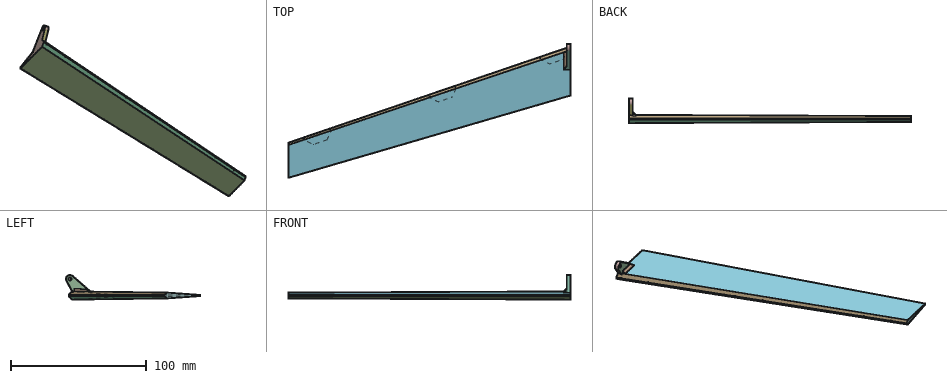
import cadquery as cq
import math

SPAN = 208.0
TOTAL_DEPTH = 98.82
TOTAL_HEIGHT = 18.29
TIP_CHORD = 26.0
ROOT_CHORD = 36.2
ROOT_TRAILING_Y = 60.7
TIP_THICKNESS = 4.5
ROOT_THICKNESS = 6.3
EDGE_THICKNESS = 1.0

HORN_THICKNESS = 3.0
HORN_RADIUS = 3.0
HORN_HOLE_DIAMETER = 2.0
HORN_FRONT_FOOT_Y = 94.3
HORN_REAR_FOOT_Y = 81.0
GUSSET_LEG = 2.0

SLOT_LENGTH = 20.5
SLOT_THICKNESS = 0.9
SLOT_STRAIGHT_DEPTH = 2.0
SLOT_TAPER_DEPTH = 5.0
SLOT_CENTERS_X = (21.0, 113.0, 195.0)

TIP_LEADING_Y = TIP_CHORD
ROOT_LEADING_Y = ROOT_TRAILING_Y + ROOT_CHORD
LEADING_SLOPE = (ROOT_LEADING_Y - TIP_LEADING_Y) / SPAN
TIP_BEVEL = (TIP_THICKNESS - EDGE_THICKNESS) / 2
ROOT_BEVEL = (ROOT_THICKNESS - EDGE_THICKNESS) / 2
ROOT_TOP_Z = ROOT_THICKNESS / 2
HORN_INNER_X = SPAN - HORN_THICKNESS
EYE_Y = TOTAL_DEPTH - HORN_RADIUS
EYE_Z = TOTAL_HEIGHT - ROOT_TOP_Z - HORN_RADIUS


def blade_section(trailing_y, chord, bevel, thickness):
    """Closed YZ outline of one blade section: the upper half and its mirror image."""
    leading_y = trailing_y + chord
    upper = [
        (trailing_y, EDGE_THICKNESS / 2),
        (leading_y - bevel, thickness / 2),
        (leading_y, EDGE_THICKNESS / 2),
    ]
    lower = [(y, -z) for y, z in reversed(upper)]
    return upper + lower


def make_blade():
    tip = blade_section(0, TIP_CHORD, TIP_BEVEL, TIP_THICKNESS)
    root = blade_section(ROOT_TRAILING_Y, ROOT_CHORD, ROOT_BEVEL, ROOT_THICKNESS)
    return (
        cq.Workplane("YZ").polyline(tip).close()
        .workplane(offset=SPAN).polyline(root).close()
        .loft(ruled=True)
    )


def tangent_point(foot_y, side):
    """Point where the line from a horn foot touches the eye; side is +1 front, -1 rear."""
    distance = math.hypot(foot_y - EYE_Y, ROOT_TOP_Z - EYE_Z)
    to_foot = math.atan2(ROOT_TOP_Z - EYE_Z, foot_y - EYE_Y)
    angle = to_foot + side * math.acos(HORN_RADIUS / distance)
    return EYE_Y + HORN_RADIUS * math.cos(angle), EYE_Z + HORN_RADIUS * math.sin(angle)


def extend_to_midplane(start, foot_y):
    """Continue the flank from its tangent point through its foot down to Z = 0."""
    start_y, start_z = start
    return start_y + (foot_y - start_y) * start_z / (start_z - ROOT_TOP_Z), 0


def make_horn_profile(thickness):
    """Horn side profile, extruded from the root face toward the tip."""
    front = tangent_point(HORN_FRONT_FOOT_Y, 1)
    rear = tangent_point(HORN_REAR_FOOT_Y, -1)
    eye_top = (EYE_Y, EYE_Z + HORN_RADIUS)
    return (
        cq.Workplane("YZ", origin=(SPAN, 0, 0))
        .moveTo(*extend_to_midplane(front, HORN_FRONT_FOOT_Y))
        .lineTo(*front)
        .threePointArc(eye_top, rear)
        .lineTo(*extend_to_midplane(rear, HORN_REAR_FOOT_Y))
        .close()
        .extrude(-thickness)
    )


def make_gusset():
    """45 degree strip between horn and blade that follows the slope of the blade top."""
    foot_x = HORN_INNER_X - GUSSET_LEG
    front_y = ROOT_LEADING_Y - ROOT_BEVEL - LEADING_SLOPE * (SPAN - foot_x)
    taper_length = ROOT_CHORD - ROOT_BEVEL
    surface_slope = (ROOT_TOP_Z - EDGE_THICKNESS / 2) / taper_length

    def section(y):
        top_z = ROOT_TOP_Z - surface_slope * (front_y - y)
        corners = [
            (foot_x, y, 0),
            (foot_x, y, top_z),
            (HORN_INNER_X, y, top_z + GUSSET_LEG),
            (HORN_INNER_X, y, 0),
        ]
        return cq.Wire.makePolygon([cq.Vector(*corner) for corner in corners], close=True)

    strip = cq.Solid.makeLoft([section(front_y), section(ROOT_TRAILING_Y)], True)
    return cq.Workplane(strip).intersect(make_horn_profile(HORN_THICKNESS + GUSSET_LEG))


def make_eye_hole():
    return (
        cq.Workplane("YZ", origin=(SPAN, EYE_Y, EYE_Z))
        .circle(HORN_HOLE_DIAMETER / 2)
        .extrude(-HORN_THICKNESS)
    )


def make_hinge_slot(center_x):
    half = SLOT_LENGTH / 2
    floor_half = half - SLOT_TAPER_DEPTH
    floor_y = -SLOT_STRAIGHT_DEPTH - SLOT_TAPER_DEPTH
    outline = [
        (-half, 0),
        (-half, -SLOT_STRAIGHT_DEPTH),
        (-floor_half, floor_y),
        (floor_half, floor_y),
        (half, -SLOT_STRAIGHT_DEPTH),
        (half, 0),
    ]
    return (
        cq.Workplane("XY")
        .polyline(outline).close()
        .extrude(SLOT_THICKNESS / 2, both=True)
        .rotate((0, 0, 0), (0, 0, 1), math.degrees(math.atan(LEADING_SLOPE)))
        .translate((center_x, TIP_LEADING_Y + LEADING_SLOPE * center_x, 0))
    )


result = make_blade().union(make_horn_profile(HORN_THICKNESS)).union(make_gusset()).cut(make_eye_hole())
for slot_center_x in SLOT_CENTERS_X:
    result = result.cut(make_hinge_slot(slot_center_x))